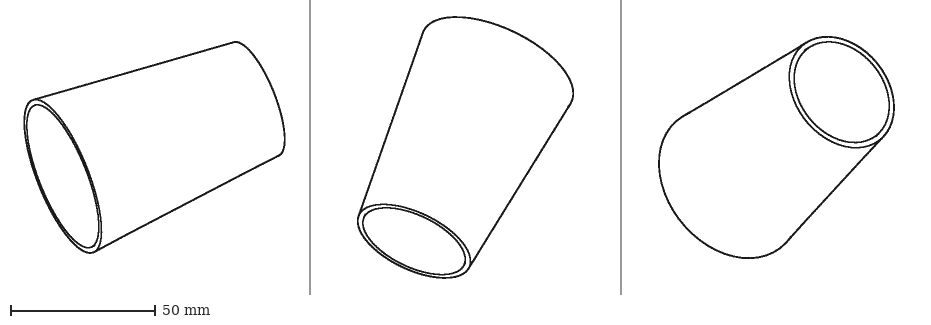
import cadquery as cq

length = 76.0
large_diameter = 57.0
small_diameter = 42.4
wall = 2.0

large_radius = large_diameter / 2
small_radius = small_diameter / 2
front_y = -length / 2
back_y = length / 2

wall_section = (
    cq.Workplane("YZ")
    .moveTo(front_y, large_radius - wall)
    .lineTo(front_y, large_radius)
    .lineTo(back_y, small_radius)
    .lineTo(back_y, small_radius - wall)
    .close()
)

result = wall_section.revolve(360, (0, 0, 0), (1, 0, 0))